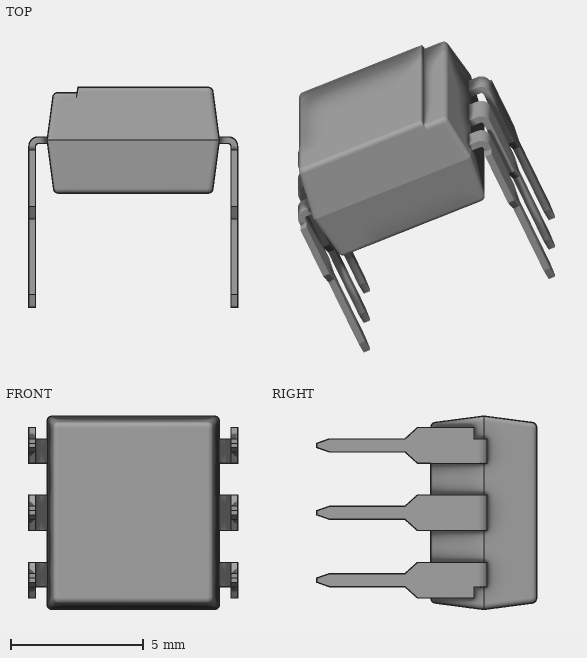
import cadquery as cq
import math


housing_width = 6.5
housing_length = 7.3
half_thickness = 2.0
draft_angle = 7.5
edge_radius = 0.2

step_depth = 0.2
step_wall_x = -2.09

lead_thickness = 0.26
row_spacing = 7.62
lead_pitch = 2.54
lead_count_per_row = 3
blade_width = 1.35
leg_width = 0.5
tip_width = 0.16
bend_inner_radius = 0.1
shoulder_drop = 0.37
blade_end_drop = 2.5
leg_start_drop = 2.97
tip_start_drop = 5.82
tip_drop = 6.3

end_position = (lead_count_per_row - 1) / 2
draft_slope = math.tan(math.radians(draft_angle))


def tapered_half(thickness, direction):
    """Housing half rising from the parting plane toward +Y (direction 1) or -Y (-1)."""
    half = (
        cq.Workplane(cq.Plane(origin=(0, 0, 0), xDir=(1, 0, 0), normal=(0, direction, 0)))
        .rect(housing_width, housing_length)
        .extrude(thickness, taper=draft_angle)
    )
    outer_face = ">Y" if direction > 0 else "<Y"
    half = half.edges("not #Y").fillet(edge_radius)
    return half.faces(outer_face).edges().fillet(edge_radius)


def make_base():
    """Lower half, on the -Y side of the parting plane."""
    return tapered_half(half_thickness, -1)


def make_cover():
    """Upper half, with the low step on the -X side of a drafted wall."""
    step_wall_foot_x = step_wall_x - half_thickness * draft_slope
    step_side = (
        cq.Workplane("XY")
        .polyline([
            (step_wall_foot_x, 0),
            (step_wall_x, half_thickness),
            (-housing_width, half_thickness),
            (-housing_width, 0),
        ])
        .close()
        .extrude(housing_length, both=True)
    )
    low_part = tapered_half(half_thickness - step_depth, 1).intersect(step_side)
    return tapered_half(half_thickness, 1).cut(step_side).union(low_part)


def bent_strip():
    """Side profile of a +X lead, carried through the full blade width."""
    outer_x = (row_spacing + lead_thickness) / 2
    inner_x = outer_x - lead_thickness
    half_strip = lead_thickness / 2
    outer_radius = bend_inner_radius + lead_thickness
    bend_x = outer_x - outer_radius
    bend_y = half_strip - outer_radius
    diagonal = math.sqrt(0.5)
    return (
        cq.Workplane("XY")
        .moveTo(0, half_strip)
        .lineTo(bend_x, half_strip)
        .threePointArc(
            (bend_x + outer_radius * diagonal, bend_y + outer_radius * diagonal),
            (outer_x, bend_y),
        )
        .lineTo(outer_x, -tip_drop)
        .lineTo(inner_x, -tip_drop)
        .lineTo(inner_x, bend_y)
        .threePointArc(
            (bend_x + bend_inner_radius * diagonal, bend_y + bend_inner_radius * diagonal),
            (bend_x, -half_strip),
        )
        .lineTo(0, -half_strip)
        .close()
        .extrude(blade_width / 2, both=True)
    )


def flat_outline():
    """Lead shape seen along X: wide blade, narrow leg and pointed tip, extruded toward +X."""
    top = lead_thickness / 2
    blade = blade_width / 2
    leg = leg_width / 2
    tip = tip_width / 2
    right_edge = [
        (top, blade),
        (-blade_end_drop, blade),
        (-leg_start_drop, leg),
        (-tip_start_drop, leg),
        (-tip_drop, tip),
    ]
    left_edge = [(y, -z) for y, z in reversed(right_edge)]
    return cq.Workplane("YZ").polyline(right_edge + left_edge).close().extrude(row_spacing)


def neck_notch(end):
    """Material removed above the shoulder of an end lead, on its +Z (1) or -Z (-1) side."""
    top = lead_thickness / 2
    return (
        cq.Workplane("YZ")
        .polyline([
            (top, end * leg_width / 2),
            (-shoulder_drop, end * leg_width / 2),
            (-shoulder_drop, end * blade_width / 2),
            (top, end * blade_width / 2),
        ])
        .close()
        .extrude(row_spacing)
    )


def make_lead(side, row_position, housing_halves):
    """Lead of the +X (side 1) or -X (side -1) row, ending flush on the housing wall.

    row_position counts lead pitches from the middle of the row. The leads at the
    ends of a row lose the outer shoulder of their neck.
    """
    lead = bent_strip().intersect(flat_outline())
    if abs(row_position) == end_position:
        lead = lead.cut(neck_notch(math.copysign(1, row_position)))
    if side < 0:
        lead = lead.mirror("YZ")
    lead = lead.translate((0, 0, row_position * lead_pitch))
    for half in housing_halves:
        lead = lead.cut(half)
    return lead.solids().val()


base = make_base()
cover = make_cover()

leads = []
for side in (-1, 1):
    for index in range(lead_count_per_row):
        leads.append(make_lead(side, index - end_position, (base, cover)))

result = cq.Compound.makeCompound([base.solids().val(), cover.solids().val(), *leads])